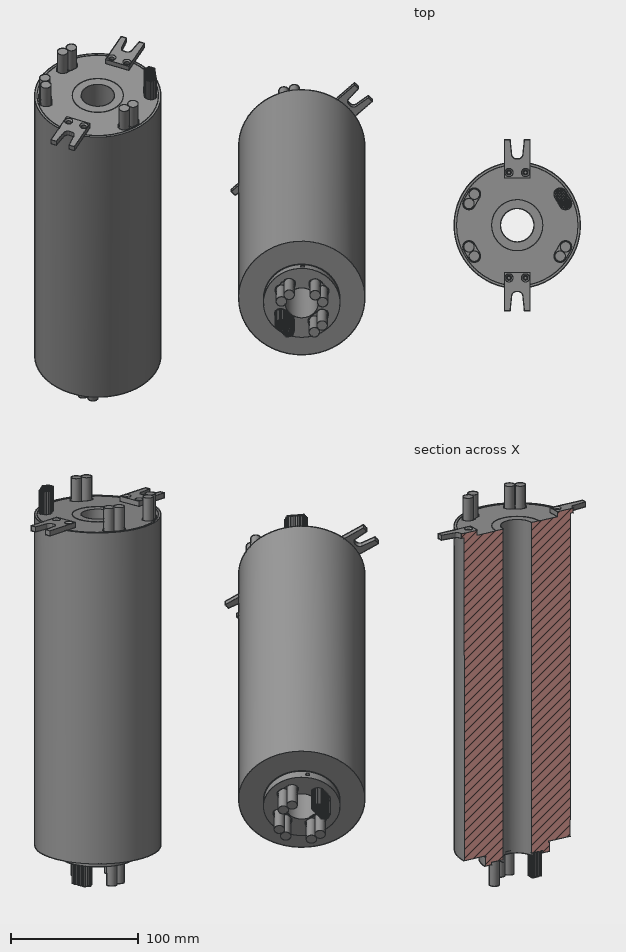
import cadquery as cq
import math

total_height = 317.4
top_rod_height = 18.4
bottom_rod_length = 19.0
flange_height = 8.6
body_height = total_height - top_rod_height - bottom_rod_length - flange_height

body_diameter = 99.0
rim_width = 2.0
cap_recess = 0.2
cap_top = body_height - cap_recess
bushing_diameter = 40.0
bore_diameter = 26.0

flange_diameter = 60.0
neck_diameter = 59.0
neck_height = 0.8
set_screw_diameter = 3.0
set_screw_depth = 6.0
set_screw_z = -(neck_height + flange_height) / 2
set_screw_angles = [45, 135, 225, 315]

rod_diameter = 8.2
rod_spacing = 8.4
pocket_width = 9.8
pocket_length = pocket_width + rod_spacing
pocket_depth = 2.0
top_rod_radius = 41.2
top_pair_angles = [150, 210, 330]
top_bundle_angle = 30
bottom_rod_radius = 18.6
bottom_pair_angles = [0, 180, 270]
bottom_bundle_angle = 90

wire_diameter = 1.3
wire_pitch = 1.4
wire_rows = 7

lug_width = 20.0
lug_length = 30.0
lug_thickness = 4.0
lug_outer_y = 67.0
lug_inner_y = lug_outer_y - lug_length
slot_depth = 15.0
slot_mouth_width = 11.0
slot_root_width = 8.0
slot_root_fillet = 3.6
lug_screw_spacing = 13.0
lug_screw_inset = 4.2
lug_screw_y = lug_inner_y + lug_screw_inset
lug_screw_xs = (-lug_screw_spacing / 2, lug_screw_spacing / 2)
lug_screw_hole = 3.8
tapped_hole = 2.5
tapped_depth = 6.0
lug_screw_head = 6.4
lug_top = body_height + lug_thickness
countersink_depth = (lug_screw_head - lug_screw_hole) / 2


def cylinder(diameter, z_low, z_high, x=0, y=0):
    """Upright cylinder between two heights."""
    return (
        cq.Workplane("XY", origin=(x, y, z_low))
        .circle(diameter / 2)
        .extrude(z_high - z_low)
    )


def turn(shape, angle):
    """Rotate a shape about the main axis."""
    return shape.rotate((0, 0, 0), (0, 0, 1), angle)


def make_body():
    """Housing tube with its recessed cap, bushing and lower flange."""
    body = cylinder(body_diameter, 0, body_height)
    body = body.cut(cylinder(body_diameter - 2 * rim_width, cap_top, body_height))
    body = body.union(cylinder(bushing_diameter, cap_top, body_height))
    body = body.union(cylinder(neck_diameter, -neck_height, 0))
    return body.union(cylinder(flange_diameter, -flange_height, -neck_height))


def make_set_screw_hole(angle):
    """Radial blind hole in the rim of the flange."""
    hole = (
        cq.Workplane("YZ", origin=(flange_diameter / 2 - set_screw_depth, 0, set_screw_z))
        .circle(set_screw_diameter / 2)
        .extrude(set_screw_depth)
    )
    return turn(hole, angle)


def make_pocket(radius, angle, z_low, z_high):
    """Obround cable opening, long side tangential."""
    pocket = (
        cq.Workplane("XY", origin=(radius, 0, z_low))
        .slot2D(pocket_length, pocket_width, 90)
        .extrude(z_high - z_low)
    )
    return turn(pocket, angle)


def make_rod_pair(radius, angle, z_low, z_high):
    """Two rods side by side in the tangential direction."""
    pair = cylinder(rod_diameter, z_low, z_high, radius, -rod_spacing / 2)
    pair = pair.union(cylinder(rod_diameter, z_low, z_high, radius, rod_spacing / 2))
    return turn(pair, angle)


def make_wire_bundle(radius, angle, z_low, z_high):
    """Hexagonally packed wires that fill an obround cable opening."""
    row_pitch = wire_pitch * math.sqrt(3) / 2
    middle_row = (wire_rows - 1) // 2
    half_straight = (pocket_length - pocket_width) / 2
    reach = (pocket_width - wire_diameter) / 2
    points = []
    for row in range(-middle_row, middle_row + 1):
        x = row * row_pitch
        half_row = half_straight + math.sqrt(reach ** 2 - x ** 2)
        shift = (row % 2) / 2
        last = int(half_row / wire_pitch - shift)
        for column in range(-last - row % 2, last + 1):
            points.append((x, (column + shift) * wire_pitch))
    wires = (
        cq.Workplane("XY", origin=(radius, 0, z_low))
        .pushPoints(points)
        .circle(wire_diameter / 2)
        .extrude(z_high - z_low)
    )
    return turn(wires, angle)


def make_countersink(x, y):
    """Cone that seats a flat-head screw in a lug."""
    return (
        cq.Workplane("XY", origin=(x, y, lug_top))
        .circle(lug_screw_head / 2)
        .workplane(offset=-countersink_depth)
        .circle(lug_screw_hole / 2)
        .loft()
    )


def make_lug():
    """Flat fork-shaped lug on the +Y side with two countersunk holes."""
    slot_root_y = lug_outer_y - slot_depth
    lug = (
        cq.Workplane("XY", origin=(0, (lug_inner_y + lug_outer_y) / 2, cap_top))
        .rect(lug_width, lug_length)
        .extrude(lug_top - cap_top)
    )
    slot = (
        cq.Workplane("XY", origin=(0, 0, cap_top))
        .moveTo(-slot_mouth_width / 2, lug_outer_y)
        .lineTo(-slot_root_width / 2, slot_root_y)
        .lineTo(slot_root_width / 2, slot_root_y)
        .lineTo(slot_mouth_width / 2, lug_outer_y)
        .close()
        .extrude(lug_top - cap_top)
        .edges("|Z and <Y")
        .fillet(slot_root_fillet)
    )
    lug = lug.cut(slot)
    for x in lug_screw_xs:
        lug = lug.cut(cylinder(lug_screw_hole, body_height, lug_top, x, lug_screw_y))
        lug = lug.cut(make_countersink(x, lug_screw_y))
    return lug


def add_cables(part, radius, pair_angles, bundle_angle, opening, cable):
    """Cut the cable openings of one end face and fill them with rods and wires."""
    for angle in pair_angles + [bundle_angle]:
        part = part.cut(make_pocket(radius, angle, *opening))
    for angle in pair_angles:
        part = part.union(make_rod_pair(radius, angle, *cable))
    return part.union(make_wire_bundle(radius, bundle_angle, *cable))


part = make_body()
part = part.cut(cylinder(bore_diameter, -flange_height, body_height))
for set_screw_angle in set_screw_angles:
    part = part.cut(make_set_screw_hole(set_screw_angle))

top_opening = (cap_top - pocket_depth, body_height)
top_cable = (cap_top - pocket_depth, body_height + top_rod_height)
part = add_cables(part, top_rod_radius, top_pair_angles, top_bundle_angle, top_opening, top_cable)

bottom_opening = (-flange_height, pocket_depth - flange_height)
bottom_cable = (-flange_height - bottom_rod_length, pocket_depth - flange_height)
part = add_cables(
    part, bottom_rod_radius, bottom_pair_angles, bottom_bundle_angle, bottom_opening, bottom_cable
)

for lug_angle in (0, 180):
    part = part.union(turn(make_lug(), lug_angle))

for tapped_x in lug_screw_xs:
    for tapped_y in (-lug_screw_y, lug_screw_y):
        part = part.cut(
            cylinder(tapped_hole, body_height - tapped_depth, body_height, tapped_x, tapped_y)
        )

result = part